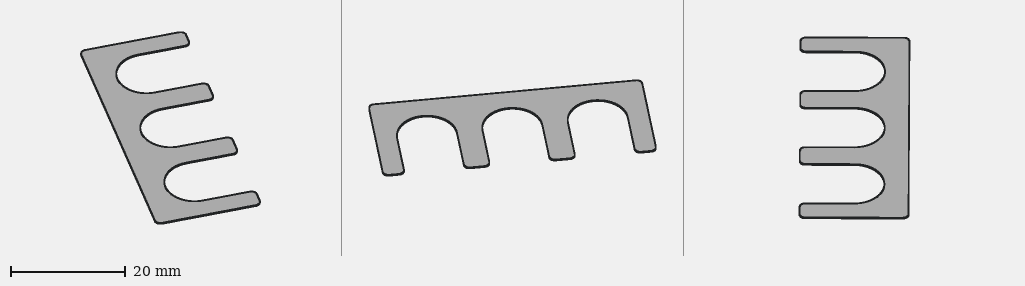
import cadquery as cq

length = 48.0
width = 19.0
thickness = 0.25
corner_radius = 1.0

slot_count = 3
slot_pitch = 15.0
slot_width = 10.5
slot_radius = slot_width / 2
slot_centre_y = 0.0
open_edge_y = width / 2


def make_plate():
    """Flat rectangular plate centred on the origin."""
    return cq.Workplane("XY").box(length, width, thickness)


def make_slot(centre_x):
    """Cutter for one slot: straight sides and a half-round closed end."""
    left_x = centre_x - slot_radius
    right_x = centre_x + slot_radius
    return (
        cq.Workplane("XY")
        .workplane(offset=-thickness / 2)
        .moveTo(left_x, open_edge_y)
        .lineTo(left_x, slot_centre_y)
        .threePointArc((centre_x, slot_centre_y - slot_radius), (right_x, slot_centre_y))
        .lineTo(right_x, open_edge_y)
        .close()
        .extrude(thickness)
    )


def round_corners(plate):
    """Round the plate corners and the tips of the fingers."""
    front_corners = cq.selectors.BoxSelector(
        (-length, -width, -thickness), (length, slot_centre_y - slot_radius, thickness)
    )
    finger_tips = cq.selectors.BoxSelector(
        (-length, open_edge_y - corner_radius, -thickness),
        (length, open_edge_y + corner_radius, thickness),
    )
    return plate.edges("|Z").edges(front_corners + finger_tips).fillet(corner_radius)


plate = make_plate()
for index in range(slot_count):
    slot_x = (index - (slot_count - 1) / 2) * slot_pitch
    plate = plate.cut(make_slot(slot_x))

result = round_corners(plate)